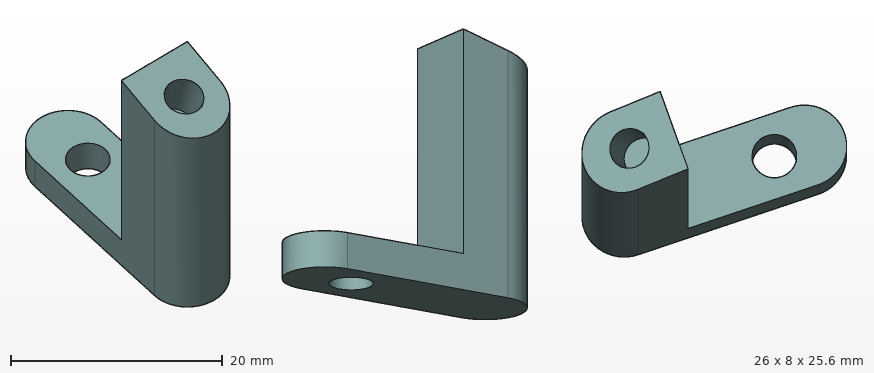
import cadquery as cq
import math

length = 26
width = 8.0
height = 25.65
end_radius = width / 2

base_thickness = 3.55
post_start_x = 17.0
top_slope_deg = 15
slope = math.radians(top_slope_deg)
low_height = height - (length - post_start_x) * math.tan(slope)

base_hole_diameter = 4.2
base_hole_x = 7.0
top_hole_diameter = 3.8
top_hole_x = 21.48
top_hole_depth = 5.5


def bracket_body():
    """L-shaped profile trimmed to a plan outline with two round ends."""
    profile = (
        cq.Workplane("XZ")
        .polyline([
            (0, 0),
            (length, 0),
            (length, low_height),
            (post_start_x, height),
            (post_start_x, base_thickness),
            (0, base_thickness),
        ])
        .close()
        .extrude(end_radius, both=True)
    )
    plan = cq.Workplane("XY").center(length / 2, 0).slot2D(length, width).extrude(height)
    return profile.intersect(plan)


def base_hole():
    """Vertical hole through the base."""
    return (
        cq.Workplane("XY")
        .center(base_hole_x, 0)
        .circle(base_hole_diameter / 2)
        .extrude(base_thickness)
    )


def top_hole():
    """Flat-bottomed blind hole, square to the sloping top of the post."""
    mouth_z = height - (top_hole_x - post_start_x) * math.tan(slope)
    top_face = cq.Plane(
        origin=(top_hole_x, 0, mouth_z),
        xDir=(0, 1, 0),
        normal=(math.sin(slope), 0, math.cos(slope)),
    )
    return cq.Workplane(top_face).circle(top_hole_diameter / 2).extrude(-top_hole_depth)


result = bracket_body().cut(base_hole()).cut(top_hole())